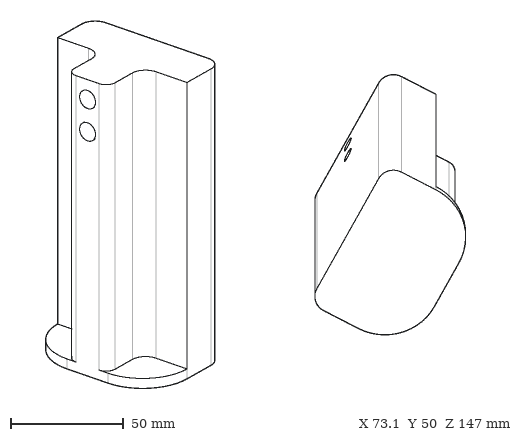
import cadquery as cq

height = 147.0
depth = 50.0
rib_width = 23.1
body_depth = depth / 2
foot_radius = depth - body_depth
width = rib_width + 2 * foot_radius
foot_height = 5.0

back_radius = 7.5
inner_radius = 7.5
rib_radius = 5.0

hole_diameter = 6.3
head_diameter = 9.0
head_depth = 25.0
first_hole_drop = 9.8
hole_spacing = 16.0
hole_count = 2

front_y = -foot_radius


def make_column():
    """T-shaped column: a rectangular body with a central front rib."""
    body = cq.Workplane("XY").box(width, body_depth, height, centered=(True, False, False))
    rib = (
        cq.Workplane("XY")
        .box(rib_width, foot_radius, height, centered=(True, False, False))
        .translate((0, front_y, 0))
    )
    column = body.union(rib)
    column = column.edges("|Z").edges(">Y").fillet(back_radius)
    column = column.edges("|Z").edges("<Y").fillet(rib_radius)
    inner_corners = cq.selectors.BoxSelector(
        (-rib_width, -inner_radius, 0), (rib_width, inner_radius, height)
    )
    return column.edges("|Z").edges(inner_corners).fillet(inner_radius)


def make_foot():
    """Plate under the rib with a quarter-round corner on each side."""
    return (
        cq.Workplane("XY")
        .moveTo(-width / 2, 0)
        .radiusArc((-rib_width / 2, front_y), -foot_radius)
        .lineTo(rib_width / 2, front_y)
        .radiusArc((width / 2, 0), -foot_radius)
        .close()
        .extrude(foot_height)
    )


def make_hole(z):
    """Counterbored through hole running from the rib face to the back."""
    start = cq.Vector(0, front_y, z)
    into_part = cq.Vector(0, 1, 0)
    shank = cq.Solid.makeCylinder(hole_diameter / 2, depth, start, into_part)
    head = cq.Solid.makeCylinder(head_diameter / 2, head_depth, start, into_part)
    return cq.Workplane(obj=shank.fuse(head))


result = make_column().union(make_foot())
for index in range(hole_count):
    result = result.cut(make_hole(height - first_hole_drop - index * hole_spacing))